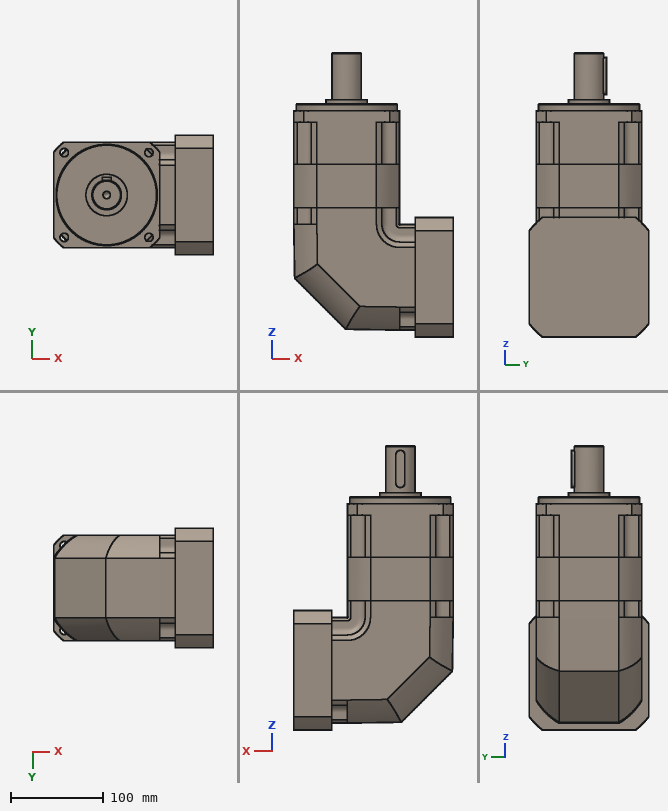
import cadquery as cq
import math


overall_height = 308.5
overall_length = 173.5

body_width = 115.0
half_width = body_width / 2
corner_radius = 66.0
bolt_offset = 46.0
pocket_wall = 38.3
pocket_radius = bolt_offset - pocket_wall

motor_flange_width = 130.0
shaft_top = overall_height - motor_flange_width / 2
collar_top = 192.8
pilot_top = 188.2
flange_top = 180.8
flange_bottom = 168.5
ring_top = 122.5
ring_bottom = 75.5

flange_corner_radius = 74.0
bolt_hole_diameter = 9.0
pilot_diameter = 110.0
collar_diameter = 45.0
shaft_diameter = 32.0
edge_chamfer = 1.0
centre_hole_diameter = 8.0
centre_hole_depth = 18.5
drill_point_angle = 118

key_width = 10.0
key_bottom = 198.5
key_top = 238.8
key_reach = 19.0

motor_flange_face = 74.5
motor_flange_end = overall_length - half_width
motor_flange_corner_radius = 82.5
elbow_draft = 1.0
mitre_corner_radius = 63.0
flat_half = math.sqrt(corner_radius**2 - half_width**2)


def rounded_square(width, radius, length):
    """Prism along +Z from z = 0: a square with its corners cut by a concentric circle."""
    square = cq.Workplane("XY").rect(width, width).extrude(length)
    return square.intersect(cq.Workplane("XY").circle(radius).extrude(length))


def pocketed_leg(length):
    """Body prism along +Z with a round-bottomed bolt pocket down each corner."""
    leg = rounded_square(body_width, corner_radius, length)
    pocket_size = half_width
    for x_side in (-1, 1):
        for y_side in (-1, 1):
            centre = pocket_wall + pocket_size / 2
            pocket = (
                cq.Workplane("XY")
                .center(x_side * centre, y_side * centre)
                .rect(pocket_size, pocket_size)
                .extrude(length)
                .edges("|Z")
                .edges(cq.selectors.NearestToPointSelector(
                    (x_side * pocket_wall, y_side * pocket_wall, length / 2)))
                .fillet(pocket_radius)
            )
            leg = leg.cut(pocket)
    return leg


def turn_to_x(body):
    """Lay a body built along +Z onto +X."""
    return body.rotate((0, 0, 0), (0, 1, 0), 90)


def make_flange():
    thickness = flange_top - flange_bottom
    flange = rounded_square(body_width, flange_corner_radius, thickness)
    flange = (
        flange.faces(">Z").workplane(origin=(0, 0, thickness))
        .rect(2 * bolt_offset, 2 * bolt_offset, forConstruction=True)
        .vertices().hole(bolt_hole_diameter)
    )
    return flange.translate((0, 0, flange_bottom))


def make_shaft():
    pilot = (
        cq.Workplane("XY", origin=(0, 0, flange_top))
        .circle(pilot_diameter / 2).extrude(pilot_top - flange_top)
        .faces(">Z").chamfer(edge_chamfer)
    )
    collar = (
        cq.Workplane("XY", origin=(0, 0, pilot_top))
        .circle(collar_diameter / 2).extrude(collar_top - pilot_top)
    )
    shaft = (
        cq.Workplane("XY", origin=(0, 0, collar_top))
        .circle(shaft_diameter / 2).extrude(shaft_top - collar_top)
        .faces(">Z").chamfer(edge_chamfer)
    )
    return pilot.union(collar).union(shaft)


def make_key():
    """Round-ended key standing out of the +Y side of the shaft."""
    return (
        cq.Workplane("XZ", origin=(0, 0, (key_bottom + key_top) / 2))
        .slot2D(key_top - key_bottom, key_width, 90)
        .extrude(-key_reach)
    )


def make_centre_hole():
    """Drilled hole with a conical end, revolved about the shaft axis."""
    radius = centre_hole_diameter / 2
    tip_length = radius / math.tan(math.radians(drill_point_angle / 2))
    floor = shaft_top - centre_hole_depth
    return (
        cq.Workplane("XZ")
        .polyline([(0, shaft_top), (radius, shaft_top), (radius, floor), (0, floor - tip_length)])
        .close().revolve(360, (0, 0, 0), (0, 1, 0))
    )


def make_output_unit():
    leg = pocketed_leg(flange_bottom - ring_top).translate((0, 0, ring_top))
    unit = leg.union(make_flange()).union(make_shaft()).union(make_key())
    return unit.cut(make_centre_hole())


def make_ring_gear():
    ring = rounded_square(body_width, corner_radius, ring_top - ring_bottom)
    return ring.translate((0, 0, ring_bottom))


def rounded_slab(depth, radius):
    """Outline reaching far toward +X, with a flat -X face at -depth flanked by arcs of the given radius."""
    arc_centre = math.sqrt(radius**2 - flat_half**2) - depth
    middle_angle = (math.pi / 2 + math.asin(flat_half / radius)) / 2
    middle_x = arc_centre - radius * math.cos(middle_angle)
    middle_y = radius * math.sin(middle_angle)
    far = 2 * body_width
    return (
        cq.Workplane("XY")
        .moveTo(far, -radius)
        .lineTo(arc_centre, -radius)
        .threePointArc((middle_x, -middle_y), (-depth, -flat_half))
        .lineTo(-depth, flat_half)
        .threePointArc((middle_x, middle_y), (arc_centre, radius))
        .lineTo(far, radius)
        .close()
    )


def swap_x_and_z(body):
    """Mirror a body in the plane x = z."""
    return turn_to_x(body).mirror("XY")


def make_bend():
    """Mitred outer corner between the two legs, with the pocketed inside corner turned about Y."""
    lean = math.degrees(math.atan(elbow_draft / half_width))
    side_wall = (
        rounded_slab(half_width, corner_radius)
        .extrude(2 * body_width, both=True)
        .rotate((-half_width, 0, 0), (-half_width, 1, 0), -lean)
        .translate((0, 0, half_width))
    )
    bottom_wall = swap_x_and_z(side_wall)
    mitre_depth = half_width / math.sqrt(2)
    mitre_wall = (
        rounded_slab(mitre_depth, mitre_corner_radius)
        .extrude(2 * body_width, both=True)
        .rotate((0, 0, 0), (0, 1, 0), -45)
    )
    block = cq.Workplane("XY").box(body_width, body_width, body_width)
    bend = block.intersect(side_wall).intersect(bottom_wall).intersect(mitre_wall)

    slice_length = half_width
    outside = (
        cq.Workplane("XY").rect(body_width, body_width).extrude(slice_length)
        .cut(pocketed_leg(slice_length))
        .translate((0, 0, half_width))
    )
    inner_corner = cq.Vector(half_width, 0, half_width)
    for face in outside.faces("<Z").vals():
        if face.Center().x > 0:
            relief = cq.Solid.revolve(face, 90, inner_corner, inner_corner - cq.Vector(0, 3, 0))
            bend = bend.cut(cq.Workplane(relief))
    return bend


def make_motor_flange():
    length = motor_flange_end - motor_flange_face
    flange = rounded_square(motor_flange_width, motor_flange_corner_radius, length)
    return turn_to_x(flange).translate((motor_flange_face, 0, 0))


def make_elbow():
    output_leg = pocketed_leg(ring_bottom - half_width).translate((0, 0, half_width))
    motor_leg = turn_to_x(pocketed_leg(motor_flange_face - half_width)).translate((half_width, 0, 0))
    return make_bend().union(output_leg).union(motor_leg).union(make_motor_flange())


output_unit = make_output_unit()
ring_gear = make_ring_gear()
elbow = make_elbow()

result = cq.Compound.makeCompound([output_unit.solids().val(), ring_gear.solids().val(), elbow.solids().val()])